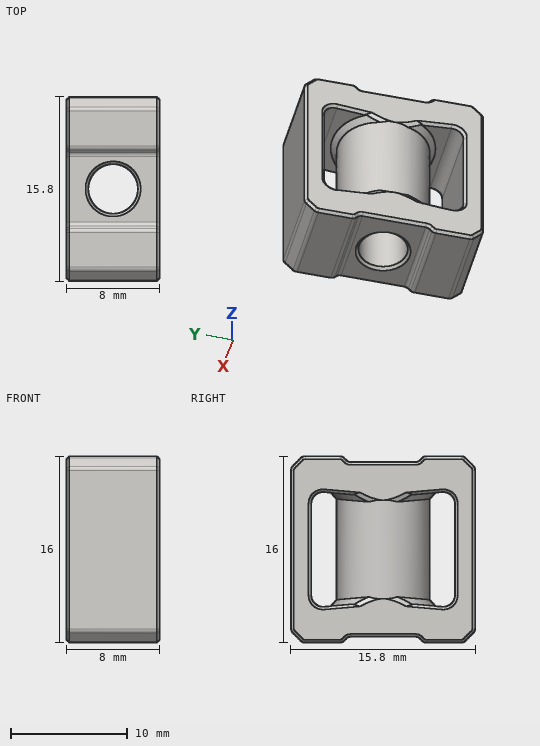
import cadquery as cq
import math

width_x = 8.0
depth_y = 15.8
height_z = 16.0
half_x = width_x / 2
half_y = depth_y / 2
half_z = height_z / 2
corner_chamfer = 1.0
profile_fillet = 0.5
edge_chamfer = 0.25

channel_floor_half = 3.0
channel_depth = 0.5

window_half_y = 6.15
window_side_half_z = 5.0
window_slope = math.tan(math.radians(5))
window_middle_half_z = window_side_half_z - window_half_y * window_slope
window_fillet = 1.0

column_diameter = 8.0
column_radius = column_diameter / 2
column_flare = 0.5
core_radius = 3.0
flare_overrun = 0.5
flare_root_z = 6.5

bore_diameter = 4.23


def ceiling_height(y):
    """Height of the sloping window ceiling at a distance y from the middle."""
    return window_middle_half_z + y * window_slope


def outer_block():
    """Bevelled block with chamfered corners and the channel in its top and bottom."""
    floor_z = half_z - channel_depth
    channel_top_half = channel_floor_half + channel_depth
    upper_right = [
        (channel_floor_half, floor_z),
        (channel_top_half, half_z),
        (half_y - corner_chamfer, half_z),
        (half_y, half_z - corner_chamfer),
    ]
    right = upper_right + [(y, -z) for y, z in reversed(upper_right)]
    outline = right + [(-y, -z) for y, z in right]
    block = cq.Workplane("YZ").polyline(outline).close().extrude(half_x, both=True)
    block = block.edges("|X").fillet(profile_fillet)
    return block.faces("<X or >X").chamfer(edge_chamfer)


def frame():
    """Block with the plain window cut through it and both window rims bevelled."""
    outline = [
        (window_half_y, -window_side_half_z),
        (window_half_y, window_side_half_z),
        (0, window_middle_half_z),
        (-window_half_y, window_side_half_z),
        (-window_half_y, -window_side_half_z),
        (0, -window_middle_half_z),
    ]
    window = cq.Workplane("YZ").polyline(outline).close().extrude(half_x, both=True)
    window = window.edges("|X and (>Y or <Y)").fillet(window_fillet)
    rim_zone = cq.selectors.BoxSelector(
        (-width_x, -window_half_y - edge_chamfer, -window_side_half_z),
        (width_x, window_half_y + edge_chamfer, window_side_half_z),
    )
    return outer_block().cut(window).faces("<X or >X").edges(rim_zone).chamfer(edge_chamfer)


def upright(radius):
    """Round bar along Z that ends inside the top and bottom walls, its seam on the -Y side."""
    bar = cq.Workplane("XY").circle(radius).extrude(flare_root_z, both=True)
    return bar.rotate((0, 0, 0), (0, 0, 1), -90)


def flare_quarter():
    """Flare between column and ceiling on the +Y side, rooted in the top wall."""
    outline = [
        (-window_half_y, ceiling_height(-window_half_y) + flare_overrun),
        (window_half_y, ceiling_height(window_half_y) + flare_overrun),
        (window_half_y, flare_root_z),
        (-window_half_y, flare_root_z),
    ]
    root = cq.Workplane("YZ").polyline(outline).close().extrude(width_x, both=True)
    flare_size = column_radius + column_flare - core_radius + flare_overrun
    flare = root.union(upright(core_radius)).edges("%ELLIPSE").chamfer(flare_size)
    quarter = cq.Workplane("XY").box(width_x, window_half_y, flare_root_z)
    flare = flare.intersect(quarter.translate((0, window_half_y / 2, flare_root_z / 2)))
    return flare.faces("<X or >X").edges("%BSPLINE").chamfer(edge_chamfer)


def bore():
    """Through bore along Z, bevelled at both mouths."""
    rim_radius = bore_diameter / 2 + edge_chamfer
    floor_z = half_z - channel_depth
    profile = [
        (0, 0),
        (bore_diameter / 2, 0),
        (bore_diameter / 2, floor_z - edge_chamfer),
        (rim_radius, floor_z),
        (0, floor_z),
    ]
    upper = cq.Workplane("XZ").polyline(profile).close().revolve(360, (0, 0), (0, 1))
    return upper.union(upper.mirror("XY"))


upper_flare = flare_quarter()
lower_flare = upper_flare.mirror("XY")
result = frame().union(upright(column_radius))
for flare in (upper_flare, lower_flare):
    result = result.union(flare).union(flare.mirror("XZ"))
result = result.cut(bore())